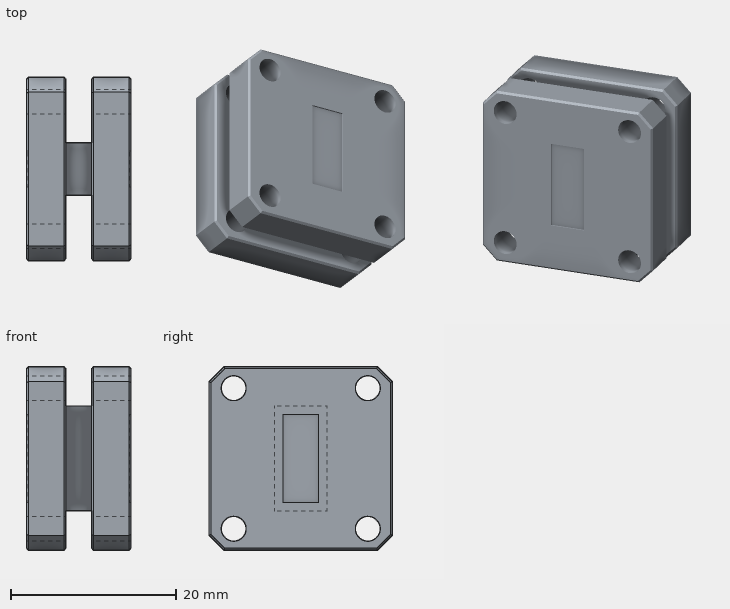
import cadquery as cq

flange_side = 22.23
total_length = 12.7
flange_thickness = 4.8
corner_chamfer = 1.8
edge_chamfer = 0.25

tube_width = 6.4
tube_height = 12.72

window_width = 4.31
window_height = 10.67
window_depth = 0.22

hole_diameter = 2.98
hole_spacing_y = 16.25
hole_spacing_z = 17.03

flange_offset = (total_length - flange_thickness) / 2


def block(length, width, height, x_center):
    """Box centred on the X axis."""
    return cq.Workplane("XY").box(length, width, height).translate((x_center, 0, 0))


def flange(x_center):
    """Square plate with cut corners and bevelled face edges."""
    plate = block(flange_thickness, flange_side, flange_side, x_center)
    plate = plate.edges("|X").chamfer(corner_chamfer)
    return plate.faces("<X or >X").edges().chamfer(edge_chamfer)


def mounting_holes():
    """Four cylinders running through both flanges."""
    return (
        cq.Workplane("YZ")
        .rect(hole_spacing_y, hole_spacing_z, forConstruction=True)
        .vertices()
        .circle(hole_diameter / 2)
        .extrude(total_length, both=True)
    )


result = block(total_length - flange_thickness, tube_width, tube_height, 0)
for side in (-1, 1):
    result = result.union(flange(side * flange_offset))

result = result.cut(mounting_holes())

window_offset = (total_length - window_depth) / 2
for side in (-1, 1):
    result = result.cut(block(window_depth, window_width, window_height, side * window_offset))